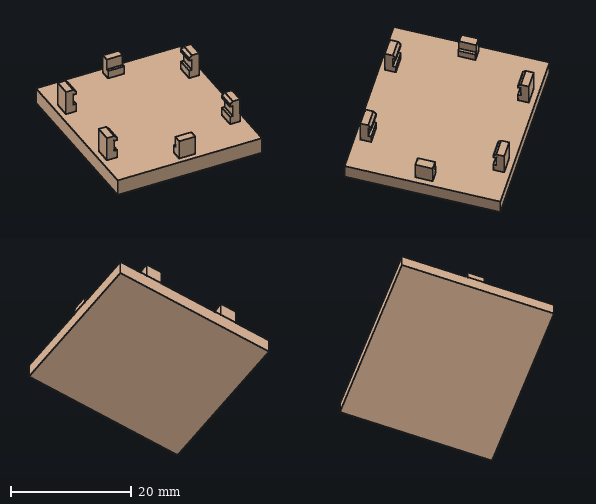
import cadquery as cq

plate_length = 30.0
plate_width = 27.0
plate_thickness = 3.0

post_breadth = 3.0
ledge_height = 1.5
ledge_depth = 0.5

rest_inset = 1.0
rest_depth = 1.95
rest_height = 3.5

snap_inset = 1.05
snap_depth = 1.9
snap_height = 4.5
snap_spacing = 15.0
hook_height = 1.0
hook_chamfer = ledge_depth


def rest_post():
    """Stepped post on the -X edge, with its ledge facing the plate centre."""
    outer = -plate_length / 2 + rest_inset
    inner = outer + rest_depth
    wall = inner - ledge_depth
    ledge = plate_thickness + ledge_height
    top = plate_thickness + rest_height
    return (
        cq.Workplane("XZ")
        .moveTo(outer, plate_thickness)
        .lineTo(inner, plate_thickness)
        .lineTo(inner, ledge)
        .lineTo(wall, ledge)
        .lineTo(wall, top)
        .lineTo(outer, top)
        .close()
        .extrude(post_breadth / 2, both=True)
    )


def snap_post():
    """Post on the -Y edge, with a chamfered hook above its ledge."""
    outer = -plate_width / 2 + snap_inset
    inner = outer + snap_depth
    wall = inner - ledge_depth
    ledge = plate_thickness + ledge_height
    top = plate_thickness + snap_height
    return (
        cq.Workplane("YZ")
        .moveTo(outer, plate_thickness)
        .lineTo(inner, plate_thickness)
        .lineTo(inner, ledge)
        .lineTo(wall, ledge)
        .lineTo(wall, top - hook_height)
        .lineTo(inner, top - hook_height)
        .lineTo(inner, top - hook_chamfer)
        .lineTo(inner - hook_chamfer, top)
        .lineTo(outer, top)
        .close()
        .extrude(post_breadth / 2, both=True)
    )


result = cq.Workplane("XY").box(
    plate_length, plate_width, plate_thickness, centered=(True, True, False)
)

for turn in (0, 180):
    posts = [rest_post()]
    for x in (-snap_spacing / 2, snap_spacing / 2):
        posts.append(snap_post().translate((x, 0, 0)))
    for post in posts:
        result = result.union(post.rotate((0, 0, 0), (0, 0, 1), turn))